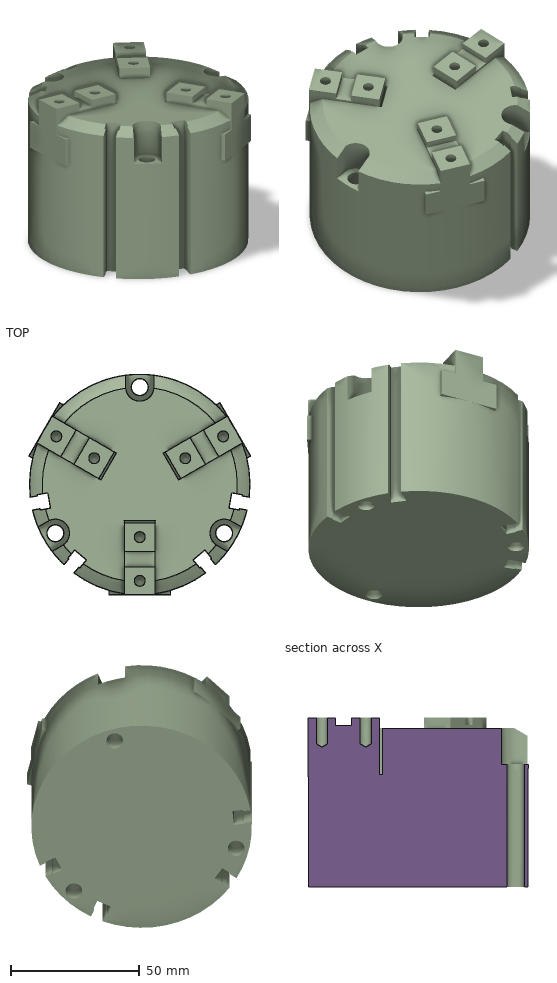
import cadquery as cq
import math


body_radius = 43.0
body_height = 61.9
rim_bevel_height = 3.0
rim_bevel_width = 5.0

jaw_angles = (30, 150, 270)
jaw_top = 66.0
jaw_foot_width = 24.0
jaw_foot_bottom = 44.0
jaw_foot_top = 55.0
jaw_stem_width = 12.0
jaw_inner = 15.0
jaw_outer = body_radius
t_slot_inner = 14.0

notch_inner = 26.1
notch_width = 6.0
notch_floor = 63.05

jaw_hole_diameter = 4.2
jaw_hole_depth = 10.0
jaw_hole_radii = (20.5, 37.5)
drill_tip_angle = 118

mount_angles = (90, 210, 330)
mount_radius = 38.0
mount_hole_diameter = 6.5
counterbore_diameter = 11.0
counterbore_floor = 48.0

groove_angles = (190, 230, 310, 350)
groove_floor = 35.9
groove_step = 39.95
groove_inner_width = 6.0
groove_mouth_width = 5.0

overrun = 4.3


def radial_box(inner, outer, width, bottom, top):
    """Box along +X, centred on the XZ plane."""
    return (
        cq.Workplane("XY", origin=(0, 0, bottom))
        .center((inner + outer) / 2, 0)
        .rect(outer - inner, width)
        .extrude(top - bottom)
    )


def turned(shape, angle):
    """Turn a shape made along +X about the body axis."""
    return shape.rotate((0, 0, 0), (0, 0, 1), angle)


def make_body():
    """Cylinder with a flat cone around the top rim."""
    profile = [
        (0, 0),
        (body_radius, 0),
        (body_radius, body_height - rim_bevel_height),
        (body_radius - rim_bevel_width, body_height),
        (0, body_height),
    ]
    return cq.Workplane("XZ").polyline(profile).close().revolve(360, (0, 0), (0, 1))


def t_section(inner, outer, top):
    """T-shaped bar: wide foot below, narrow stem up to the given height."""
    foot = radial_box(inner, outer, jaw_foot_width, jaw_foot_bottom, jaw_foot_top)
    stem = radial_box(inner, outer, jaw_stem_width, jaw_foot_bottom, top)
    return foot.union(stem)


def jaw_hole(radius):
    """Blind hole that ends in a conical drill tip."""
    hole_radius = jaw_hole_diameter / 2
    tip_length = hole_radius / math.tan(math.radians(drill_tip_angle / 2))
    hole_bottom = jaw_top - jaw_hole_depth
    profile = [
        (0, jaw_top),
        (hole_radius, jaw_top),
        (hole_radius, hole_bottom),
        (0, hole_bottom - tip_length),
    ]
    drill = cq.Workplane("XZ").polyline(profile).close().revolve(360, (0, 0), (0, 1))
    return drill.translate((radius, 0, 0))


def make_jaw():
    """T-shaped jaw with a cross notch between its two holes."""
    jaw = t_section(jaw_inner, jaw_outer, jaw_top)
    jaw = jaw.cut(radial_box(notch_inner, notch_inner + notch_width, jaw_stem_width, notch_floor, jaw_top))
    for radius in jaw_hole_radii:
        jaw = jaw.cut(jaw_hole(radius))
    return jaw


def mount_hole():
    """Through hole and a counterbore opened outwards to the rim."""
    centre = cq.Workplane("XY").center(mount_radius, 0)
    hole = centre.circle(mount_hole_diameter / 2).extrude(body_height)
    counterbore = (
        centre.workplane(offset=counterbore_floor)
        .circle(counterbore_diameter / 2)
        .extrude(body_height - counterbore_floor)
    )
    run_out = radial_box(
        mount_radius, body_radius + overrun, counterbore_diameter, counterbore_floor, body_height
    )
    return hole.union(counterbore).union(run_out)


def sensor_groove():
    """Full-height groove, slightly narrower at the mouth."""
    channel = radial_box(groove_floor, groove_step, groove_inner_width, 0, body_height)
    mouth = radial_box(groove_floor, body_radius + overrun, groove_mouth_width, 0, body_height)
    return channel.union(mouth)


result = make_body()

for angle in mount_angles:
    result = result.cut(turned(mount_hole(), angle))

for angle in groove_angles:
    result = result.cut(turned(sensor_groove(), angle))

for angle in jaw_angles:
    t_slot = t_section(t_slot_inner, body_radius + overrun, body_height)
    result = result.cut(turned(t_slot, angle))
    result = result.union(turned(make_jaw(), angle))